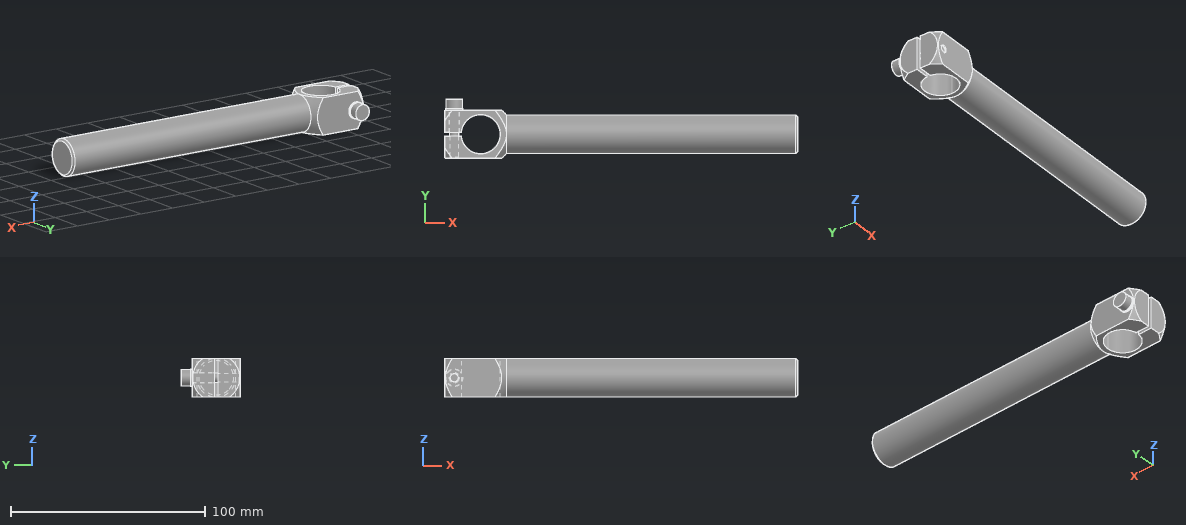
import cadquery as cq

rod_diameter = 20.0
head_length = 31.8
head_width = 25.0
head_height = rod_diameter
end_circle_diameter = 24.2
cone_reach = 7.3

total_length = 182.0
rod_chamfer = 1.1

bore_diameter = 20.0
bore_x = 18.5
slot_width = 2.0

screw_x = 5.0
shank_diameter = 5.0
tip_diameter = 4.2
screw_head_diameter = 8.5
screw_head_height = 5.0
screw_length = 25.0
washer_outer_diameter = 9.0
washer_inner_diameter = 5.3
washer_thickness = 1.1
washer_proud = 0.7

jaw_face_y = head_width / 2
washer_seat_y = jaw_face_y + washer_proud - washer_thickness
screw_seat_y = washer_seat_y + washer_thickness
screw_tip_y = screw_seat_y - screw_length


def cylinder_y(diameter, y_start, y_end):
    """Cylinder on the screw axis between two Y positions."""
    plane = cq.Workplane("XZ", origin=(screw_x, y_start, 0))
    return plane.circle(diameter / 2).extrude(y_start - y_end)


def make_head_blank():
    """Block with both ends turned to 45 degree cones."""
    block = cq.Workplane("YZ").rect(head_width, head_height).extrude(head_length)
    end_radius = end_circle_diameter / 2
    rod_radius = rod_diameter / 2
    turned_envelope = (
        cq.Workplane("XY")
        .moveTo(0, 0)
        .lineTo(0, end_radius)
        .lineTo(cone_reach, end_radius + cone_reach)
        .lineTo(head_length - cone_reach, rod_radius + cone_reach)
        .lineTo(head_length, rod_radius)
        .lineTo(head_length, 0)
        .close()
        .revolve(360, (0, 0, 0), (1, 0, 0))
    )
    return block.intersect(turned_envelope)


def make_rod():
    """Round rod with a chamfered far end."""
    rod = cq.Workplane("YZ", origin=(head_length, 0, 0)).circle(rod_diameter / 2)
    return rod.extrude(total_length - head_length).faces(">X").chamfer(rod_chamfer)


def make_clamp_arm():
    """Clamp head and rod in one piece, with bore, slot and screw holes."""
    bore = cq.Workplane("XY", origin=(bore_x, 0, 0)).circle(bore_diameter / 2).extrude(head_height, both=True)
    slot = cq.Workplane("XY").box(bore_x, slot_width, head_height, centered=(False, True, True))
    clearance_hole = cylinder_y(washer_inner_diameter, 0, washer_seat_y)
    tapped_hole = cylinder_y(tip_diameter, -jaw_face_y, 0)
    washer_recess = cylinder_y(washer_outer_diameter, washer_seat_y, screw_seat_y)
    arm = make_head_blank().union(make_rod())
    return arm.cut(bore).cut(slot).cut(clearance_hole).cut(tapped_hole).cut(washer_recess)


def make_washer():
    """Flat ring seated in the recess of the upper jaw."""
    ring = cylinder_y(washer_outer_diameter, washer_seat_y, screw_seat_y)
    return ring.cut(cylinder_y(washer_inner_diameter, washer_seat_y, screw_seat_y))


def make_screw():
    """Cap screw whose tip stops inside the tapped hole."""
    head = cylinder_y(screw_head_diameter, screw_seat_y, screw_seat_y + screw_head_height)
    shank = cylinder_y(shank_diameter, -slot_width / 2, screw_seat_y)
    tip = cylinder_y(tip_diameter, screw_tip_y, -slot_width / 2)
    return head.union(shank).union(tip)


clamp_arm = make_clamp_arm()
washer = make_washer()
screw = make_screw()

result = cq.Compound.makeCompound([clamp_arm.val(), washer.val(), screw.val()])